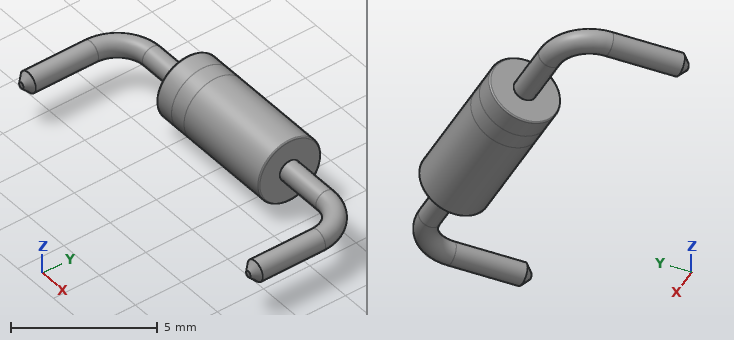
import cadquery as cq
import math

housing_diameter = 2.7
housing_length = 5.7
housing_edge_fillet = 0.05
housing_radius = housing_diameter / 2
housing_end = housing_length / 2

band_offset = 0.82
band_width = 0.7
band_start = -housing_end + band_offset
band_end = band_start + band_width

lead_diameter = 0.86
lead_pitch = 12.7
lead_reach = 4.5
bend_radius = 1.5
tip_chamfer = 0.3
lead_radius = lead_diameter / 2
leg_x = lead_pitch / 2


def make_housing():
    """Cylinder with rounded end edges, its side face divided at both edges of the marking band."""
    shoulder_x = housing_end - housing_edge_fillet
    shoulder_radius = housing_radius - housing_edge_fillet
    half_profile = (
        cq.Workplane("XY")
        .moveTo(-housing_end, 0)
        .lineTo(-housing_end, shoulder_radius)
        .radiusArc((-shoulder_x, housing_radius), housing_edge_fillet)
        .lineTo(band_start, housing_radius)
        .lineTo(band_end, housing_radius)
        .lineTo(shoulder_x, housing_radius)
        .radiusArc((housing_end, shoulder_radius), housing_edge_fillet)
        .lineTo(housing_end, 0)
        .close()
    )
    return half_profile.revolve(360, (0, 0, 0), (1, 0, 0), clean=False)


def make_lead(side):
    """Wire from the housing end face through a right-angle bend to a chamfered tip; side is -1 or +1."""
    bend_start = leg_x - bend_radius
    bend_diagonal = bend_radius * math.sqrt(0.5)
    path = (
        cq.Workplane("XY")
        .moveTo(side * housing_end, 0)
        .lineTo(side * bend_start, 0)
        .threePointArc(
            (side * (bend_start + bend_diagonal), bend_diagonal - bend_radius),
            (side * leg_x, -bend_radius),
        )
        .lineTo(side * leg_x, -lead_reach)
    )
    section = cq.Workplane("YZ", origin=(side * housing_end, 0, 0)).circle(lead_radius)
    return section.sweep(path).faces("<Y").edges().chamfer(tip_chamfer)


housing = make_housing()
leads = [make_lead(side) for side in (-1, 1)]

bodies = [housing, *leads]
result = cq.Compound.makeCompound([body.solids().val() for body in bodies])